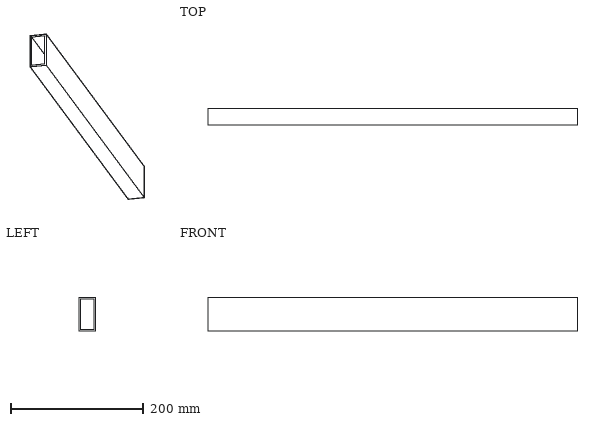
import cadquery as cq

length = 558.8
width = 25.4
height = 50.8
wall = 2.54

bore_width = width - 2 * wall
bore_height = height - 2 * wall


def rectangular_tube():
    """Extrude the hollow rectangular section along X, centred on the origin."""
    section = cq.Workplane("YZ").rect(width, height).rect(bore_width, bore_height)
    return section.extrude(length / 2, both=True)


result = rectangular_tube()